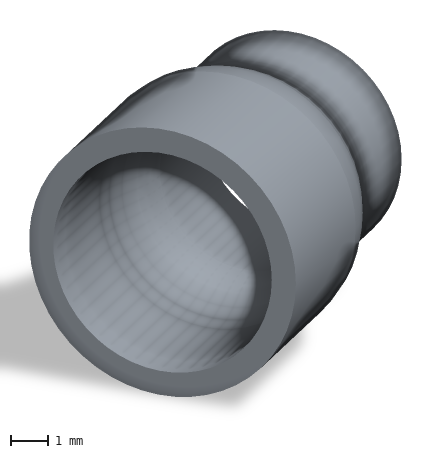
import cadquery as cq
import math

length = 9.0
wide_outer_diameter = 7.75
wide_bore_diameter = 6.35
narrow_outer_diameter = 6.4
narrow_bore_diameter = 5.0

outer_step_start = 4.17
bore_step_start = 3.25
step_length = 2.57
blend_radius = 2.5


def cone_half_angle(drop):
    """Angle to the axis of the line tangent to both blend arcs, for a given drop in radius."""
    centre_separation = 2 * blend_radius - drop
    centre_distance = math.hypot(step_length, centre_separation)
    centre_line_angle = math.atan2(centre_separation, step_length)
    return math.asin(2 * blend_radius / centre_distance) - centre_line_angle


def arc_offset(angle):
    """Radial and axial distance covered by a blend arc after turning by the angle."""
    return blend_radius * (1 - math.cos(angle)), blend_radius * math.sin(angle)


def stepped_body(wide_diameter, narrow_diameter, step_start):
    """Solid of revolution about Y with a smooth step between its two diameters."""
    wide_radius = wide_diameter / 2
    narrow_radius = narrow_diameter / 2
    step_end = step_start + step_length

    cone_angle = cone_half_angle(wide_radius - narrow_radius)
    mid_drop, mid_run = arc_offset(cone_angle / 2)
    full_drop, full_run = arc_offset(cone_angle)

    return (
        cq.Workplane("XY")
        .lineTo(wide_radius, 0)
        .lineTo(wide_radius, step_start)
        .threePointArc(
            (wide_radius - mid_drop, step_start + mid_run),
            (wide_radius - full_drop, step_start + full_run),
        )
        .lineTo(narrow_radius + full_drop, step_end - full_run)
        .threePointArc(
            (narrow_radius + mid_drop, step_end - mid_run),
            (narrow_radius, step_end),
        )
        .lineTo(narrow_radius, length)
        .lineTo(0, length)
        .close()
        .revolve(360, (0, 0, 0), (0, 1, 0))
    )


outer_body = stepped_body(wide_outer_diameter, narrow_outer_diameter, outer_step_start)
bore = stepped_body(wide_bore_diameter, narrow_bore_diameter, bore_step_start)
result = outer_body.cut(bore)